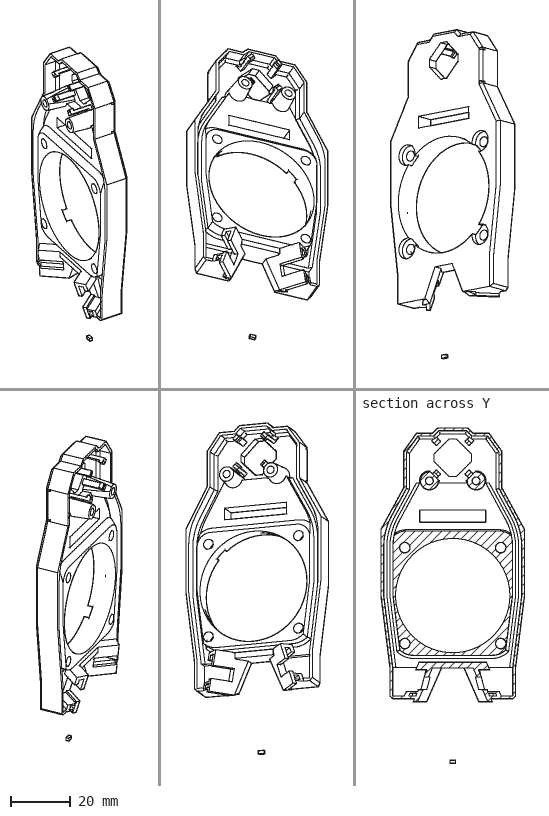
import cadquery as cq
import math

RIM_DEPTH = 8.5
BACK_CHAMFER = 1.0
HALF_WIDTH = 24.0
TOP_Z = 56.0
CROWN_HALF_WIDTH = 5.0
CROWN_FOOT_HALF_WIDTH = 6.8
BROW_HALF_WIDTH = 12.1
BROW_Z = 54.2
WING_HALF_WIDTH = 21.0
WING_TOP_Z = -24.0
WING_BOTTOM_Z = -34.5
WING_CHAMFER = 1.0
HEAD_HALF_WIDTH = 16.4
HEAD_BOTTOM_Z = 36.0
HEAD_SIDE_TOP_Z = 48.2
EDGE_NOTCH_HEIGHT = 0.7
EDGE_NOTCH_WIDTH = 0.8
EDGE_NOTCH_DEPTH = 1.9

WALL = 1.0
FOOT_CHAMFER = 1.0
BLOCK_INSET = 4.0
SHOULDER_Z = 22.0
SHOULDER_RADIUS = 20.0
FLOOR_DEPTH = 3.5

MID_DEPTH = 6.5
MID_TOP_Z = 37.6
PAD_HALF = 20.0
PAD_CORNER_RADIUS = 4.6
BLOCK_CORNER_RADIUS = 7.0
FAN_OPENING_DIAMETER = 38.0
FAN_SCREW_DIAMETER = 3.4
FAN_SCREW_SPACING = 32.0
FAN_RECESS_DIAMETER = 7.0
FAN_RECESS_DEPTH = 1.8
DUCT_STRAIGHT = 2.5
DUCT_CONE = 3.0
DUCT_FLARE = 0.8

SLOT_WIDTH = 22.0
SLOT_HEIGHT = 4.0
SLOT_CENTER_Z = 26.5

WINDOW_Z = 46.0
WINDOW_HALF_SIDE = 5.3
WINDOW_HALF_DIAGONAL = 6.25
POST_WIDTH = 2.0
POST_INNER = 6.7
POST_OUTER = 7.8
POST_DEPTH = 11.5
HOOK_REACH = 0.7
HOOK_START_DEPTH = 10.0
HOOK_END_DEPTH = 11.3
GUSSET_LENGTH = 1.2

BOSS_X = 7.8
BOSS_Z = 38.3
BOSS_DEPTH = 13.2
BOSS_BASE_DIAMETER = 6.6
BOSS_TIP_DIAMETER = 5.0
BOSS_HOLE_DIAMETER = 2.52
BOSS_FLAT = 8.6
BOSS_HOLE_END_DEPTH = 6.0

WING_FLOOR_DEPTH = 1.5
RAIL_DEPTH = 8.0
RAIL_HALF_WIDTH = 6.8
RAIL_TOP_Z = -22.2
NOTCH_TOP_Z = -24.2
NOTCH_HALF_WIDTH = 3.75
NOTCH_BOTTOM_HALF_WIDTH = 8.7
NOTCH_EDGE_DEPTH = 3.2
HOLDER_BOTTOM_Z = -35.5
HOLDER_THICKNESS = 1.2
HOLDER_ROOT_THICKNESS = 2.4
HOLDER_REACH = 13.0
HOLDER_BEVEL_DEPTH = 3.0
NOTCH_EDGE = cq.Vector(NOTCH_BOTTOM_HALF_WIDTH - NOTCH_HALF_WIDTH, 0, HOLDER_BOTTOM_Z - NOTCH_TOP_Z)
HOLDER_TIP_EDGE = cq.Vector(3.5, 2.9, -13.4)
HOLDER_NORMAL = HOLDER_TIP_EDGE.cross(NOTCH_EDGE)
RECESS_START = 4.8
RECESS_TOP_Z = -27.2
RECESS_BOTTOM_Z = -31.4
LEDGE_THICKNESS = 4.0
UPPER_LEDGE_BOTTOM_Z = -24.8
LOWER_LEDGE_TOP_Z = -32.0
LOWER_LEDGE_BOTTOM_Z = -34.5
CHANNEL_WIDTH = 1.6
CHANNEL_START = 8.0
UPPER_CHANNEL_TOP_Z = -23.4
LOWER_CHANNEL_TOP_Z = -32.6
LOWER_CHANNEL_BOTTOM_Z = -34.0

KEY_WIDTH = 2.0
KEY_SIZE = 1.1
KEY_BOTTOM_Z = -56.0

FAR = 80.0


def front_plane(depth=0.0):
    """Plane facing -Y whose local axes are X and Z."""
    return cq.Workplane("XZ", origin=(0, -depth, 0))


def box(x_range, depth_range, z_range):
    """Axis-parallel box from its ranges; depths count towards -Y."""
    size = (x_range[1] - x_range[0], depth_range[1] - depth_range[0], z_range[1] - z_range[0])
    corner = (x_range[0], -depth_range[1], z_range[0])
    return cq.Workplane("XY").box(*size, centered=False).translate(corner)


def both_sides(body):
    return body.union(body.mirror("YZ"))


def mirrored_outline(right):
    """Closed outline from the points of its right half, listed from top to bottom."""
    left = [(-x, z) for x, z in reversed(right)]
    return right + left


def outline_points():
    return mirrored_outline([
        (CROWN_HALF_WIDTH, TOP_Z),
        (CROWN_FOOT_HALF_WIDTH, BROW_Z),
        (BROW_HALF_WIDTH, BROW_Z),
        (HEAD_HALF_WIDTH, HEAD_SIDE_TOP_Z),
        (HEAD_HALF_WIDTH, HEAD_BOTTOM_Z),
        (HALF_WIDTH, SHOULDER_Z),
        (HALF_WIDTH, 0),
        (WING_HALF_WIDTH, WING_TOP_Z),
        (WING_HALF_WIDTH, WING_BOTTOM_Z + WING_CHAMFER),
        (WING_HALF_WIDTH - WING_CHAMFER, WING_BOTTOM_Z),
    ])


def block_outline_points():
    """Outline of the lower part, with the shoulder slopes carried straight on upwards."""
    rise = 2 * (HEAD_BOTTOM_Z - SHOULDER_Z)
    top_x = HALF_WIDTH - 2 * (HALF_WIDTH - HEAD_HALF_WIDTH)
    return mirrored_outline([
        (top_x, SHOULDER_Z + rise),
        (HALF_WIDTH, SHOULDER_Z),
        (HALF_WIDTH, 0),
        (WING_HALF_WIDTH, WING_TOP_Z),
        (WING_HALF_WIDTH, WING_BOTTOM_Z),
    ])


def inset_prism(points, inset, radius, depths, taper=0):
    """Prism of an outline moved inwards, with its two shoulder corners rounded."""
    wire = front_plane().polyline(points).close().offset2D(-inset, "intersection").val()
    face = cq.Face.makeFromWires(wire)
    shoulders = [v for v in face.Vertices() if abs(v.X) > HEAD_HALF_WIDTH and abs(v.Z - SHOULDER_Z) < inset]
    outline = face.fillet2D(radius, shoulders).outerWire()
    prism = front_plane().add(outline).toPending().extrude(depths[1] - depths[0], taper=taper)
    return prism.translate((0, -depths[0], 0))


def shell():
    """Full outline with a chamfered back edge everywhere but along the bottom."""
    body = front_plane().polyline(outline_points()).close().extrude(RIM_DEPTH)
    above_bottom = cq.selectors.BoxSelector((-FAR, -1, WING_BOTTOM_Z + WING_CHAMFER / 2 + 0.1), (FAR, 1, FAR))
    return body.faces(">Y").edges(above_bottom).chamfer(BACK_CHAMFER)


def edge_notches():
    """Small notches in the back edges at both ends of the upright head sides."""
    x_range = (HEAD_HALF_WIDTH - EDGE_NOTCH_WIDTH, HEAD_HALF_WIDTH)
    depth_range = (0, EDGE_NOTCH_DEPTH)
    upper = box(x_range, depth_range, (HEAD_SIDE_TOP_Z - EDGE_NOTCH_HEIGHT, HEAD_SIDE_TOP_Z))
    lower = box(x_range, depth_range, (HEAD_BOTTOM_Z, HEAD_BOTTOM_Z + EDGE_NOTCH_HEIGHT))
    return both_sides(upper.union(lower))


def moat():
    """Pocket inside the rim, with a sloping foot along its walls."""
    foot_end = FLOOR_DEPTH + FOOT_CHAMFER
    points = outline_points()
    foot_inset = WALL + FOOT_CHAMFER
    foot = inset_prism(points, foot_inset, SHOULDER_RADIUS, (FLOOR_DEPTH, foot_end), -45)
    pocket = inset_prism(points, WALL, SHOULDER_RADIUS + FOOT_CHAMFER, (foot_end, RIM_DEPTH))
    return foot.union(pocket).intersect(box((-FAR, FAR), (0, FAR), (WING_TOP_Z, FAR)))


def rounded_prism(half_width, center_z, radius, depths, taper=0):
    """Rectangular prism with rounded corners, tall enough to pass one end of the part."""
    prism = (
        cq.Workplane("XZ", origin=(0, -depths[0], center_z))
        .sketch()
        .rect(2 * half_width, FAR)
        .vertices()
        .fillet(radius)
        .finalize()
        .extrude(depths[1] - depths[0], taper=taper)
    )
    return prism


def raised_block():
    """Block inside the moat: a low top part and the higher fan pad."""
    foot_end = FLOOR_DEPTH + FOOT_CHAMFER
    foot_depths = (FLOOR_DEPTH, foot_end)
    body_depths = (foot_end, RIM_DEPTH)
    points = block_outline_points()
    foot_half = PAD_HALF + FOOT_CHAMFER
    foot_radius = BLOCK_CORNER_RADIUS + FOOT_CHAMFER
    center_z = FAR / 2 - PAD_HALF
    foot = inset_prism(points, BLOCK_INSET - FOOT_CHAMFER, SHOULDER_RADIUS, foot_depths, 45)
    foot = foot.intersect(rounded_prism(foot_half, center_z - FOOT_CHAMFER, foot_radius, foot_depths, 45))
    body = inset_prism(points, BLOCK_INSET, SHOULDER_RADIUS - FOOT_CHAMFER, body_depths)
    body = body.intersect(rounded_prism(PAD_HALF, center_z, BLOCK_CORNER_RADIUS, body_depths))

    pad_rise = RIM_DEPTH - MID_DEPTH
    pad_half = PAD_HALF + pad_rise
    pad_radius = PAD_CORNER_RADIUS + pad_rise
    pad = rounded_prism(pad_half, pad_half - FAR / 2, pad_radius, (MID_DEPTH, RIM_DEPTH), 45)
    low_part = box((-FAR, FAR), (FLOOR_DEPTH, MID_DEPTH), (-FAR, MID_TOP_Z))
    return foot.union(body).intersect(low_part.union(pad))


def fan_openings():
    """Flaring air duct and four screw holes with recesses at the back."""
    spacing = FAN_SCREW_SPACING
    corners = front_plane().rect(spacing, spacing, forConstruction=True).vertices()
    screws = corners.circle(FAN_SCREW_DIAMETER / 2).extrude(RIM_DEPTH)
    recesses = corners.circle(FAN_RECESS_DIAMETER / 2).extrude(FAN_RECESS_DEPTH)
    radius = FAN_OPENING_DIAMETER / 2
    cone_end = RIM_DEPTH - DUCT_STRAIGHT - DUCT_CONE
    profile = [
        (0, -RIM_DEPTH),
        (radius, -RIM_DEPTH),
        (radius, DUCT_STRAIGHT - RIM_DEPTH),
        (radius + DUCT_FLARE, -cone_end),
        (radius + DUCT_FLARE, 0),
        (0, 0),
    ]
    duct = cq.Workplane("XY").polyline(profile).close().revolve(360, (0, 0, 0), (0, 1, 0))
    return screws.union(recesses).union(duct)


def cable_slot():
    return front_plane().center(0, SLOT_CENTER_Z).rect(SLOT_WIDTH, SLOT_HEIGHT).extrude(MID_DEPTH)


def window():
    """Square opening standing on its corner, with the corners cut off."""
    side = 2 * WINDOW_HALF_SIDE
    diamond = front_plane().rect(side, side).extrude(RIM_DEPTH).rotate((0, 0, 0), (0, 1, 0), 45)
    half = WINDOW_HALF_DIAGONAL
    return diamond.intersect(box((-half, half), (0, RIM_DEPTH), (-half, half))).translate((0, 0, WINDOW_Z))


def snap_post(angle):
    """Post with a hook towards the window, on a ray at this angle from the window centre."""
    half = POST_WIDTH / 2
    post = box((POST_INNER, POST_OUTER), (FLOOR_DEPTH, POST_DEPTH), (-half, half))
    hook = box((POST_INNER - HOOK_REACH, POST_INNER), (HOOK_START_DEPTH, HOOK_END_DEPTH), (-half, half))
    ramp = [
        (POST_OUTER, -FLOOR_DEPTH),
        (POST_OUTER, -FLOOR_DEPTH - GUSSET_LENGTH),
        (POST_OUTER + GUSSET_LENGTH, -FLOOR_DEPTH),
    ]
    gusset = cq.Workplane("XY").polyline(ramp).close().extrude(half, both=True)
    post = post.union(hook).union(gusset)
    return post.rotate((0, 0, 0), (0, 1, 0), -angle).translate((0, 0, WINDOW_Z))


def boss():
    """Tapered screw boss with a flat towards the window."""
    height = BOSS_DEPTH - FLOOR_DEPTH
    taper = math.degrees(math.atan((BOSS_BASE_DIAMETER - BOSS_TIP_DIAMETER) / 2 / height))
    body = front_plane(FLOOR_DEPTH).center(BOSS_X, BOSS_Z).circle(BOSS_BASE_DIAMETER / 2)
    body = body.extrude(height, taper=taper)
    half = WINDOW_HALF_SIDE
    flat = box((0, BOSS_FLAT), (0, FAR), (-half, half))
    return body.cut(flat.rotate((0, 0, 0), (0, 1, 0), 45).translate((0, 0, WINDOW_Z)))


def boss_hole():
    """Blind hole with a pointed end."""
    radius = BOSS_HOLE_DIAMETER / 2
    profile = [
        (0, -FAR),
        (radius, -FAR),
        (radius, -BOSS_HOLE_END_DEPTH),
        (0, radius - BOSS_HOLE_END_DEPTH),
    ]
    hole = cq.Workplane("XY").polyline(profile).close().revolve(360, (0, 0, 0), (0, 1, 0))
    return hole.translate((BOSS_X, 0, BOSS_Z))


def wing_pocket():
    half = WING_HALF_WIDTH - WALL
    return box((-half, half), (WING_FLOOR_DEPTH, FAR), (WING_BOTTOM_Z + WALL, WING_TOP_Z))


def holder_block(start, end, layer, z_range):
    """Slab along the tilted holder face, cut off level at both ends.

    start and end count along the face towards its tip; layer is the range of depths below the face.
    """
    plane = cq.Plane(
        origin=(NOTCH_HALF_WIDTH, -NOTCH_EDGE_DEPTH, NOTCH_TOP_Z),
        xDir=HOLDER_TIP_EDGE,
        normal=HOLDER_NORMAL,
    )
    slab = cq.Workplane(plane).workplane(offset=-layer[0]).center(0, (start + end) / 2)
    slab = slab.rect(FAR, end - start).extrude(layer[0] - layer[1])
    return slab.intersect(box((-FAR, FAR), (0, FAR), z_range))


def holder():
    """Tilted plate with a recess in its tip edge and a channelled ledge at either end."""
    z_range = (HOLDER_BOTTOM_Z, RAIL_TOP_Z)
    body = holder_block(-NOTCH_EDGE_DEPTH, RECESS_START, (0, HOLDER_ROOT_THICKNESS), z_range)
    arms = holder_block(RECESS_START, HOLDER_REACH, (0, HOLDER_THICKNESS), z_range)
    recess = box((-FAR, FAR), (0, FAR), (RECESS_BOTTOM_Z, RECESS_TOP_Z))
    body = body.union(arms.cut(recess))

    ledge_layer = (0, LEDGE_THICKNESS)
    for ledge_range in (
        (UPPER_LEDGE_BOTTOM_Z, RAIL_TOP_Z),
        (LOWER_LEDGE_BOTTOM_Z, LOWER_LEDGE_TOP_Z),
    ):
        body = body.union(holder_block(RECESS_START, HOLDER_REACH, ledge_layer, ledge_range))
    channel_layer = (HOLDER_THICKNESS, HOLDER_THICKNESS + CHANNEL_WIDTH)
    for channel_range in (
        (UPPER_LEDGE_BOTTOM_Z, UPPER_CHANNEL_TOP_Z),
        (LOWER_CHANNEL_BOTTOM_Z, LOWER_CHANNEL_TOP_Z),
    ):
        body = body.cut(holder_block(CHANNEL_START, FAR, channel_layer, channel_range))

    bevel = [
        (0, WING_BOTTOM_Z),
        (-BACK_CHAMFER, WING_BOTTOM_Z),
        (-HOLDER_BEVEL_DEPTH, HOLDER_BOTTOM_Z),
        (0, HOLDER_BOTTOM_Z),
    ]
    return body.cut(cq.Workplane("YZ").polyline(bevel).close().extrude(FAR))


def notch():
    """Opening between the two holders, upright at the back and following their faces in front."""
    side = holder_block(-FAR, FAR, (-FAR, 0), (-FAR, NOTCH_TOP_Z))
    outline = [
        (NOTCH_HALF_WIDTH, NOTCH_TOP_Z),
        (NOTCH_BOTTOM_HALF_WIDTH, HOLDER_BOTTOM_Z),
        (-NOTCH_BOTTOM_HALF_WIDTH, HOLDER_BOTTOM_Z),
        (-NOTCH_HALF_WIDTH, NOTCH_TOP_Z),
    ]
    upright = front_plane().polyline(outline).close().extrude(NOTCH_EDGE_DEPTH)
    front = side.intersect(side.mirror("YZ"))
    front = front.intersect(box((-FAR, FAR), (NOTCH_EDGE_DEPTH, FAR), (-FAR, FAR)))
    return upright.union(front)


def rail():
    half = RAIL_HALF_WIDTH
    return box((-half, half), (0, RAIL_DEPTH), (NOTCH_TOP_Z, RAIL_TOP_Z))


def make_housing():
    body = shell().cut(edge_notches()).cut(moat()).cut(wing_pocket()).union(raised_block())
    body = body.union(rail()).union(both_sides(holder())).cut(notch())
    body = body.cut(fan_openings()).cut(cable_slot())
    for angle in (45, 135, 225, 315):
        body = body.union(snap_post(angle))
    body = body.union(both_sides(boss())).cut(both_sides(boss_hole()))
    return body.cut(window())


def make_key():
    half = KEY_WIDTH / 2
    return box((-half, half), (0, KEY_SIZE), (KEY_BOTTOM_Z, KEY_BOTTOM_Z + KEY_SIZE))


housing = make_housing()
key = make_key()
result = cq.Compound.makeCompound([*housing.solids().vals(), key.val()])